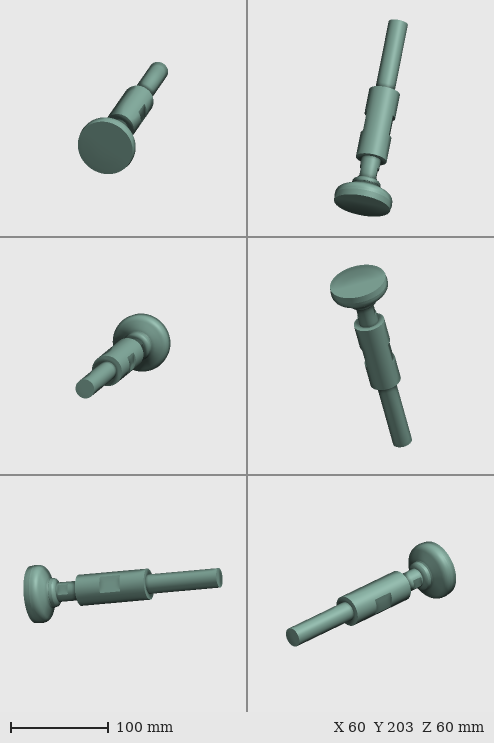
import cadquery as cq

total_length = 203.0

rod_diameter = 20.0
rod_across_flats = 17.0
rod_flat_start = 30.2
rod_flat_length = 11.0

foot_radius = 30.0
sole_radius = 29.2
rim_height = 6.3
shoulder_start_height = 9.0
shoulder_start_radius = 29.8
shoulder_end_height = 15.5
shoulder_end_radius = 25.4
cone_top_height = 20.3
cone_top_radius = 15.8
neck_height = 21.5
neck_radius = 14.6

collar_bottom_height = 22.1
collar_bottom_radius = 15.2
collar_top_height = 25.4
collar_top_radius = 14.6
collar_end_height = 28.5
collar_bulge = 0.5

sleeve_diameter = 32.0
sleeve_start = 51.4
sleeve_length = 75.0
sleeve_across_flats = 27.0
sleeve_flat_length = 22.0


def cylinder(diameter, start, length):
    """Cylinder on the Y axis that begins at Y = start."""
    plane = cq.Workplane("XZ", origin=(0, start, 0))
    return plane.circle(diameter / 2).extrude(-length)


def cut_flats(body, diameter, across_flats, start, length):
    """Cut two parallel wrench flats facing -X and +X."""
    depth = (diameter - across_flats) / 2
    offset = (across_flats + depth) / 2
    for side in (-1, 1):
        cutter = cq.Workplane("XY").box(depth, length, diameter)
        body = body.cut(cutter.translate((side * offset, start + length / 2, 0)))
    return body


def make_foot():
    """Bell-shaped foot with a rounded shoulder, a neck and a collar."""
    rod_radius = rod_diameter / 2
    collar_mid_radius = (collar_top_radius + rod_radius) / 2 + collar_bulge
    collar_mid_height = (collar_top_height + collar_end_height) / 2 + collar_bulge
    profile = (
        cq.Workplane("XY")
        .lineTo(sole_radius, 0)
        .lineTo(foot_radius, rim_height)
        .lineTo(shoulder_start_radius, shoulder_start_height)
        .tangentArcPoint((shoulder_end_radius, shoulder_end_height), relative=False)
        .lineTo(cone_top_radius, cone_top_height)
        .lineTo(neck_radius, neck_height)
        .lineTo(neck_radius, collar_bottom_height)
        .lineTo(collar_bottom_radius, collar_bottom_height)
        .lineTo(collar_top_radius, collar_top_height)
        .threePointArc((collar_mid_radius, collar_mid_height), (rod_radius, collar_end_height))
        .lineTo(0, collar_end_height)
        .close()
    )
    return profile.revolve(360, (0, 0, 0), (0, 1, 0))


def make_spindle():
    """Rod with wrench flats, in one piece with the foot."""
    rod = cylinder(rod_diameter, collar_end_height, total_length - collar_end_height)
    rod = cut_flats(rod, rod_diameter, rod_across_flats, rod_flat_start, rod_flat_length)
    return make_foot().union(rod)


def make_sleeve():
    """Tube that fits closely around the rod, with wrench flats at mid-length."""
    bore = cylinder(rod_diameter, sleeve_start, sleeve_length)
    sleeve = cylinder(sleeve_diameter, sleeve_start, sleeve_length).cut(bore)
    flat_start = sleeve_start + (sleeve_length - sleeve_flat_length) / 2
    return cut_flats(sleeve, sleeve_diameter, sleeve_across_flats, flat_start, sleeve_flat_length)


spindle = make_spindle()
sleeve = make_sleeve()

result = cq.Compound.makeCompound([spindle.val(), sleeve.val()])